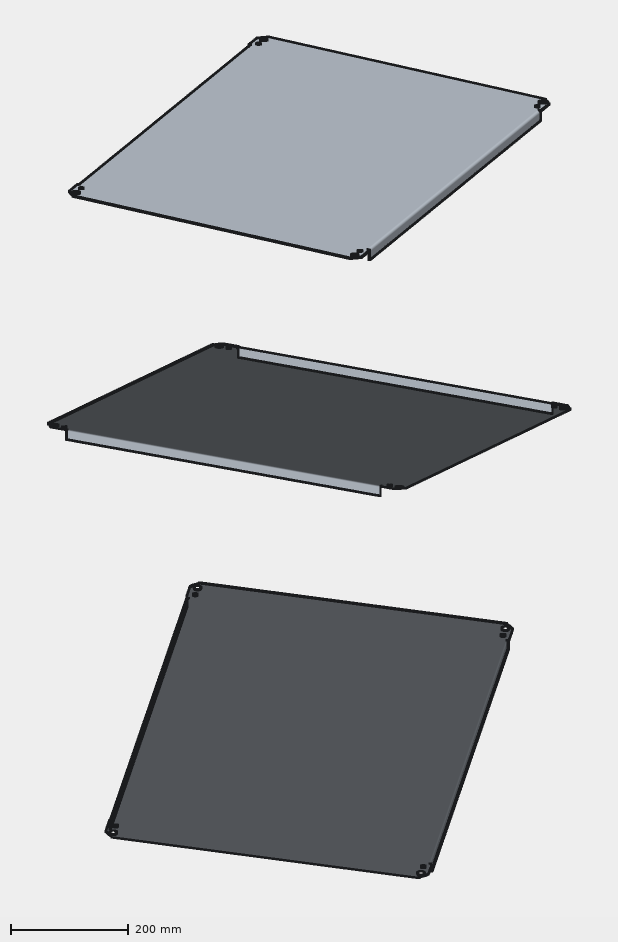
import cadquery as cq

WIDTH = 563.88
LENGTH = 716.28
HEIGHT = 19.66

THICKNESS = 2.38
BEND_OUTER_RADIUS = 4.76
BEND_INNER_RADIUS = BEND_OUTER_RADIUS - THICKNESS

FLANGE_SETBACK = 43.63
FLANGE_LENGTH = LENGTH - 2 * FLANGE_SETBACK

MOUNTING_HOLE_DIAMETER = 12.7
HOLE_SIDE_INSET = 13.15
MOUNTING_HOLE_END_INSET = 13.15
SMALL_HOLE_DIAMETER = 7.94
HOLE_PITCH = 19.05
SMALL_HOLE_END_INSET = MOUNTING_HOLE_END_INSET + HOLE_PITCH

ARC_LIMIT = 12.7
END_STEP = 3.07
ARC_BULGE = 1.03
SIDE_STEP = 1.22


def corner_trim():
    """Cutter that steps and blunts the (+X, +Y) corner."""
    side = WIDTH / 2
    end = LENGTH / 2
    return (
        cq.Workplane("XY")
        .moveTo(side, end)
        .lineTo(side - ARC_LIMIT, end)
        .lineTo(side - ARC_LIMIT, end - END_STEP)
        .sagittaArc((side - SIDE_STEP, end - ARC_LIMIT), ARC_BULGE)
        .lineTo(side, end - ARC_LIMIT)
        .close()
        .extrude(THICKNESS)
    )


def end_strips():
    """Flat sheet beyond both ends of the flanges, with all four corners trimmed."""
    sheet = cq.Workplane("XY").box(WIDTH, LENGTH, THICKNESS, centered=(True, True, False))
    middle = cq.Workplane("XY").box(WIDTH, FLANGE_LENGTH, THICKNESS, centered=(True, True, False))
    near_trim = corner_trim()
    end_trims = near_trim.union(near_trim.mirror("YZ"))
    return sheet.cut(middle).cut(end_trims).cut(end_trims.mirror("XZ"))


def flanged_channel():
    """Middle stretch of the panel, with both sides bent down."""
    bottom = THICKNESS - HEIGHT
    outside = (
        cq.Workplane("XY", origin=(0, 0, bottom))
        .box(WIDTH, FLANGE_LENGTH, HEIGHT, centered=(True, True, False))
        .edges("|Y and >Z")
        .fillet(BEND_OUTER_RADIUS)
    )
    inside = (
        cq.Workplane("XY", origin=(0, 0, bottom))
        .box(WIDTH - 2 * THICKNESS, FLANGE_LENGTH, HEIGHT - THICKNESS, centered=(True, True, False))
        .edges("|Y and >Z")
        .fillet(BEND_INNER_RADIUS)
    )
    return outside.cut(inside)


def corner_holes(diameter, end_inset):
    """Cutters for one hole through the sheet at each of the four corners."""
    return (
        cq.Workplane("XY")
        .rect(WIDTH - 2 * HOLE_SIDE_INSET, LENGTH - 2 * end_inset, forConstruction=True)
        .vertices()
        .circle(diameter / 2)
        .extrude(THICKNESS)
    )


panel = flanged_channel().union(end_strips())
panel = panel.cut(corner_holes(MOUNTING_HOLE_DIAMETER, MOUNTING_HOLE_END_INSET))
result = panel.cut(corner_holes(SMALL_HOLE_DIAMETER, SMALL_HOLE_END_INSET))